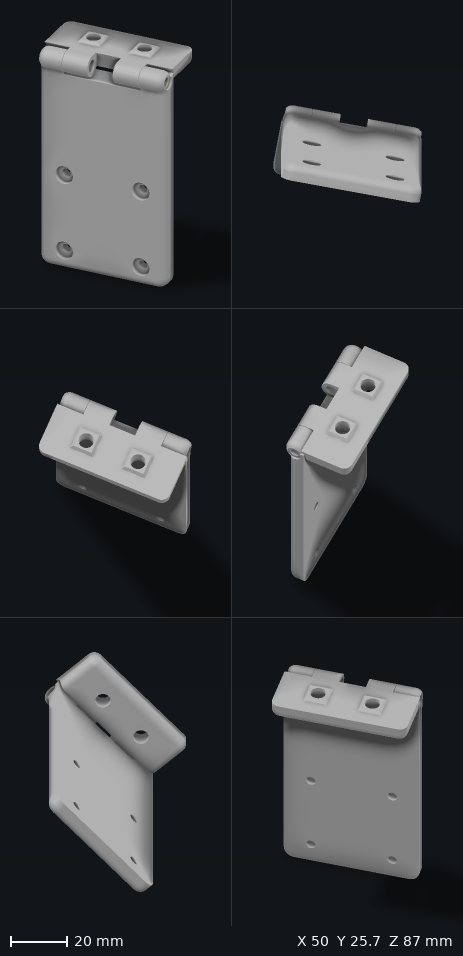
import cadquery as cq
import math

WIDTH = 50.0
HEIGHT = 87
DEPTH = 25.7
LEAF_THICKNESS = 6.0
BARREL_RADIUS = 4.0
PAD_HEIGHT = 1.0

PLATE_BACK = BARREL_RADIUS
PLATE_FRONT = -2.1
PLATE_BOTTOM = BARREL_RADIUS + PAD_HEIGHT - HEIGHT
PLATE_CORNER_RADIUS = 4.0
PLATE_EDGE_RADIUS = 3.05
SHOULDER_TOP = 2.0
NECK_RADIUS = 2.5

CLEARANCE_DIAMETER = 10.0
KNUCKLE_SPLIT = 15.0
KNUCKLE_GAP = 0.2
MIDDLE_GAP = 10.0
PIN_BORE = 3.5
LEAF_BORE = 5.0
HEAD_DIAMETER = 5.5
HEAD_FLOOR = 24.2

SCREW_DIAMETER = 3.5
SCREW_HEAD_DIAMETER = 7
SCREW_HEAD_DEPTH = 2.0
SCREW_SPACING = 30.0
SCREW_BOTTOM_MARGIN = 7.5

LEAF_TOP = BARREL_RADIUS
LEAF_BOTTOM = LEAF_TOP - LEAF_THICKNESS
LEAF_CORNER_RADIUS = 3.05
LEAF_EDGE_RADIUS = 3.0
LEAF_BACK = DEPTH - BARREL_RADIUS
PAD_BASE = 8.9
PAD_SLOPE_WIDTH = PAD_HEIGHT
PAD_SPACING = 20
PAD_Y = 11.9
PAD_HOLE = 5.5


def x_cylinder(diameter, x_start, x_end):
    """Cylinder on the hinge axis between two X positions."""
    return (cq.Workplane("YZ").workplane(offset=x_start)
            .circle(diameter / 2).extrude(x_end - x_start))


def box_between(low, high):
    """Box between two opposite corners."""
    size = [b - a for a, b in zip(low, high)]
    return cq.Workplane("XY").box(*size, centered=False).translate(low)


def rounded_blank():
    """Plate and full-width barrel with rounded outer edges, too thick at the back."""
    neck_y = PLATE_FRONT - NECK_RADIUS
    reach = BARREL_RADIUS + NECK_RADIUS
    neck_z = -math.sqrt(reach ** 2 - neck_y ** 2)
    neck_angle = math.atan2(-neck_z, -neck_y) / 2
    blend = BARREL_RADIUS / reach
    leave_angle = math.asin(SHOULDER_TOP / BARREL_RADIUS)
    leave_y = BARREL_RADIUS * math.cos(leave_angle)
    spare_back = 2 * PLATE_BACK
    slope_z = SHOULDER_TOP - (spare_back - leave_y) / math.tan(leave_angle)
    blank = (
        cq.Workplane("YZ", origin=(-WIDTH / 2, 0, 0))
        .moveTo(spare_back, PLATE_BOTTOM)
        .lineTo(PLATE_FRONT, PLATE_BOTTOM)
        .lineTo(PLATE_FRONT, neck_z)
        .threePointArc((neck_y + NECK_RADIUS * math.cos(neck_angle),
                        neck_z + NECK_RADIUS * math.sin(neck_angle)),
                       (neck_y * blend, neck_z * blend))
        .threePointArc((-BARREL_RADIUS * math.sin(leave_angle),
                        BARREL_RADIUS * math.cos(leave_angle)),
                       (leave_y, SHOULDER_TOP))
        .lineTo(spare_back, slope_z)
        .close()
        .extrude(WIDTH)
    )
    blank = blank.edges("|Y and <Z").fillet(PLATE_CORNER_RADIUS)
    front_edge = cq.selectors.NearestToPointSelector((-WIDTH / 2, PLATE_FRONT, PLATE_BOTTOM / 2))
    return blank.edges(front_edge).fillet(PLATE_EDGE_RADIUS)


def hinge_plate():
    """Long plate with the two outer knuckles and four counterbored screw holes."""
    half = WIDTH / 2
    plate = rounded_blank().intersect(box_between(
        (-half, -BARREL_RADIUS, PLATE_BOTTOM), (half, PLATE_BACK, BARREL_RADIUS)))
    shoulder = (
        cq.Workplane("YZ", origin=(-half, 0, 0))
        .polyline([(0, 0), (PLATE_BACK, SHOULDER_TOP), (PLATE_BACK, -CLEARANCE_DIAMETER)])
        .close()
        .extrude(WIDTH)
    )
    plate = plate.union(shoulder)
    split = KNUCKLE_SPLIT + KNUCKLE_GAP
    plate = plate.cut(x_cylinder(CLEARANCE_DIAMETER, -split, split))
    plate = plate.cut(x_cylinder(PIN_BORE, -half, half))
    plate = plate.cut(x_cylinder(HEAD_DIAMETER, -half, -HEAD_FLOOR))
    plate = plate.cut(x_cylinder(HEAD_DIAMETER, HEAD_FLOOR, half))
    return plate.cut(screw_holes(PLATE_BOTTOM + SCREW_BOTTOM_MARGIN))


def screw_holes(lower_z):
    """Square pattern of counterbored holes, with the lower row at lower_z."""
    holes = cq.Workplane("XZ", origin=(0, PLATE_FRONT, lower_z + SCREW_SPACING / 2))
    points = holes.rarray(SCREW_SPACING, SCREW_SPACING, 2, 2)
    heads = points.circle(SCREW_HEAD_DIAMETER / 2).extrude(-SCREW_HEAD_DEPTH)
    shanks = points.circle(SCREW_DIAMETER / 2).extrude(PLATE_FRONT - PLATE_BACK)
    return heads.union(shanks)


def pad(x):
    """Square tapered pad on top of the leaf."""
    return (cq.Workplane("XY", origin=(x, PAD_Y, LEAF_TOP))
            .rect(PAD_BASE, PAD_BASE)
            .workplane(offset=PAD_HEIGHT)
            .rect(PAD_BASE - 2 * PAD_SLOPE_WIDTH, PAD_BASE - 2 * PAD_SLOPE_WIDTH)
            .loft())


def pad_hole(x):
    """Through hole in the middle of a pad."""
    return (
        cq.Workplane("XY", origin=(x, PAD_Y, LEAF_BOTTOM))
        .circle(PAD_HOLE / 2)
        .extrude(LEAF_THICKNESS + PAD_HEIGHT)
    )


def folded_leaf():
    """Short leaf with two middle knuckles and two drilled pads."""
    half = WIDTH / 2
    half_gap = MIDDLE_GAP / 2
    leaf = box_between((-half, 0, LEAF_BOTTOM), (half, LEAF_BACK, LEAF_TOP))
    leaf = leaf.edges("|Z and >Y").fillet(LEAF_CORNER_RADIUS)
    leaf = leaf.faces("<Z").edges("not <Y").fillet(LEAF_EDGE_RADIUS)
    for start, end in ((-half, -KNUCKLE_SPLIT), (-half_gap, half_gap), (KNUCKLE_SPLIT, half)):
        leaf = leaf.cut(x_cylinder(CLEARANCE_DIAMETER, start, end))
    for start, end in ((-KNUCKLE_SPLIT, -half_gap), (half_gap, KNUCKLE_SPLIT)):
        leaf = leaf.union(x_cylinder(2 * BARREL_RADIUS, start, end))
    leaf = leaf.cut(x_cylinder(LEAF_BORE, -KNUCKLE_SPLIT, KNUCKLE_SPLIT))
    for x in (-PAD_SPACING / 2, PAD_SPACING / 2):
        leaf = leaf.union(pad(x)).cut(pad_hole(x))
    return leaf


plate_body = hinge_plate()
leaf_body = folded_leaf()

result = cq.Compound.makeCompound([plate_body.val(), leaf_body.val()])